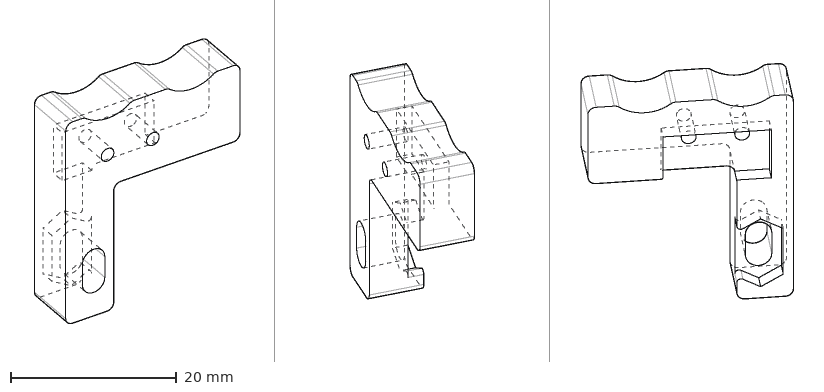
import cadquery as cq
import math

thickness = 7.0
length = 25.0
height = 29.0
arm_height = 11.0
leg_width = 6.9
arm_bottom_z = height - arm_height
corner_radius = 1.0

scallop_radius = 5.25
scallop_depth = 1.25
scallop_lip_radius = 1.0
scallop_count = 2
scallop_spacing = 12.0
first_scallop_y = 6.05

recess_depth = 2.0
recess_near_y = 2.7
recess_far_y = 15.85
recess_top_z = height - 4.9
recess_bottom_z = height - 11.8
recess_mouth_radius = 0.3

pin_diameter = 1.8
pin_z = height - 6.5
pin_count = 2
pin_spacing = 6.5
first_pin_y = 6.0

slot_y = 4.0
slot_z = 6.5
slot_width = 3.2
slot_length = 6.2
nut_depth = 2.0
nut_across_flats = 5.5
nut_flank_angle = math.radians(30)
nut_travel = 3.4
nut_mouth_radius = 0.5


def side_plane():
    """Sketch plane on the -X face, extruding toward +X, with local x along Y and local y along Z."""
    return cq.Workplane("YZ")


def make_body():
    """L-shaped block with all six profile corners rounded."""
    outline = [
        (0, 0),
        (leg_width, 0),
        (leg_width, arm_bottom_z),
        (length, arm_bottom_z),
        (length, height),
        (0, height),
    ]
    block = side_plane().polyline(outline).close().extrude(thickness)
    return block.edges("|X").fillet(corner_radius)


def make_scallop(center_y):
    """Circular trough whose lips blend into the top face through convex arcs."""
    axis_z = height + scallop_radius - scallop_depth
    lip_z = height - scallop_lip_radius
    center_distance = scallop_radius + scallop_lip_radius
    lip_offset = math.sqrt(center_distance**2 - (axis_z - lip_z) ** 2)
    lip_angle = math.asin(lip_offset / center_distance)
    tangent_offset = scallop_radius * math.sin(lip_angle)
    tangent_z = axis_z - scallop_radius * math.cos(lip_angle)
    lip_mid_offset = lip_offset - scallop_lip_radius * math.sin(lip_angle / 2)
    lip_mid_z = lip_z + scallop_lip_radius * math.cos(lip_angle / 2)
    return (
        side_plane()
        .moveTo(center_y - lip_offset, height)
        .threePointArc((center_y - lip_mid_offset, lip_mid_z), (center_y - tangent_offset, tangent_z))
        .threePointArc((center_y, height - scallop_depth), (center_y + tangent_offset, tangent_z))
        .threePointArc((center_y + lip_mid_offset, lip_mid_z), (center_y + lip_offset, height))
        .close()
        .extrude(thickness)
    )


def make_recess():
    """Rectangular recess in the -X face, open at the inner corner of the L."""
    return cq.Workplane("XY").box(
        recess_depth,
        recess_far_y - recess_near_y,
        recess_top_z - recess_bottom_z,
        centered=False,
    ).translate((0, recess_near_y, recess_bottom_z))


def round_recess_mouth(part):
    """Round the edge where the recess's far wall meets the underside of the arm."""
    tolerance = 0.01
    mouth_edge = cq.selectors.BoxSelector(
        (0, recess_far_y - tolerance, arm_bottom_z - tolerance),
        (recess_depth, recess_far_y + tolerance, arm_bottom_z + tolerance),
    )
    return part.edges(mouth_edge).fillet(recess_mouth_radius)


def make_pin_holes():
    """Two through holes along X."""
    centers = [(first_pin_y + i * pin_spacing, pin_z) for i in range(pin_count)]
    return side_plane().pushPoints(centers).circle(pin_diameter / 2).extrude(thickness)


def make_slot():
    """Vertical through slot along X."""
    return side_plane().center(slot_y, slot_z).slot2D(slot_length, slot_width, 90).extrude(thickness)


def make_nut_pocket():
    """Stretched hexagon in the -X face, open through the inner side of the leg, with rounded mouth edges."""
    half_flats = nut_across_flats / 2
    flank_slope = math.tan(nut_flank_angle)
    apex = half_flats / math.cos(nut_flank_angle) + nut_travel / 2
    shoulder = apex - half_flats * flank_slope
    mouth_y = leg_width - slot_y
    lip_y = mouth_y - nut_mouth_radius
    lip_z = apex - mouth_y * flank_slope + nut_mouth_radius / flank_slope
    flank_y = lip_y - nut_mouth_radius * math.sin(nut_flank_angle)
    flank_z = lip_z - nut_mouth_radius * math.cos(nut_flank_angle)
    arc_mid_y = lip_y + nut_mouth_radius * math.sin(nut_flank_angle)
    arc_mid_z = lip_z - nut_mouth_radius * math.cos(nut_flank_angle)
    return (
        side_plane()
        .center(slot_y, slot_z)
        .moveTo(mouth_y, lip_z)
        .threePointArc((arc_mid_y, arc_mid_z), (flank_y, flank_z))
        .lineTo(0, apex)
        .lineTo(-half_flats, shoulder)
        .lineTo(-half_flats, -shoulder)
        .lineTo(0, -apex)
        .lineTo(flank_y, -flank_z)
        .threePointArc((arc_mid_y, -arc_mid_z), (mouth_y, -lip_z))
        .close()
        .extrude(nut_depth)
    )


result = make_body()
for index in range(scallop_count):
    result = result.cut(make_scallop(first_scallop_y + index * scallop_spacing))
result = result.cut(make_recess())
result = round_recess_mouth(result)
result = result.cut(make_pin_holes())
result = result.cut(make_slot())
result = result.cut(make_nut_pocket())